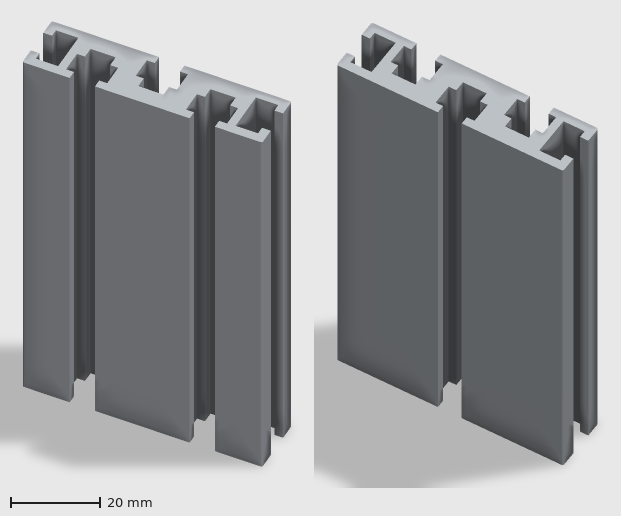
import cadquery as cq

width = 60.0
depth = 15.0
length = 100.0
corner_radius = 0.5

slot_opening = 6.3
slot_inner_width = 10.3
lip_thickness = 2.2
shoulder_depth = 7.8
relief_depth = 10.6

front_slot_offset = width / 4


def slot_block(slot_width, start, end):
    """Full-length block, centred on Y = 0, spanning X from start to end."""
    block = cq.Workplane("XY").box(end - start, slot_width, length, centered=(False, True, False))
    return block.translate((start, 0, 0))


def t_slot(neck_depth):
    """T-slot cutter with its mouth at X = 0, reaching toward +X; the neck may run past the chamber."""
    neck = slot_block(slot_opening, 0, neck_depth)
    chamber = slot_block(slot_inner_width, lip_thickness, shoulder_depth)
    return neck.union(chamber)


def place(slot, inward_angle, x, y):
    """Turn a slot to the given inward direction and move its mouth to (x, y)."""
    return slot.rotate((0, 0, 0), (0, 0, 1), inward_angle).translate((x, y, 0))


result = cq.Workplane("XY").box(width, depth, length, centered=(True, True, False))
result = result.edges("|Z").fillet(corner_radius)

side_slot = t_slot(shoulder_depth)
result = result.cut(place(side_slot, 0, -width / 2, 0))
result = result.cut(place(side_slot, 180, width / 2, 0))

face_slot = t_slot(relief_depth)
result = result.cut(place(face_slot, -90, 0, depth / 2))
for slot_x in (-front_slot_offset, front_slot_offset):
    result = result.cut(place(face_slot, 90, slot_x, -depth / 2))